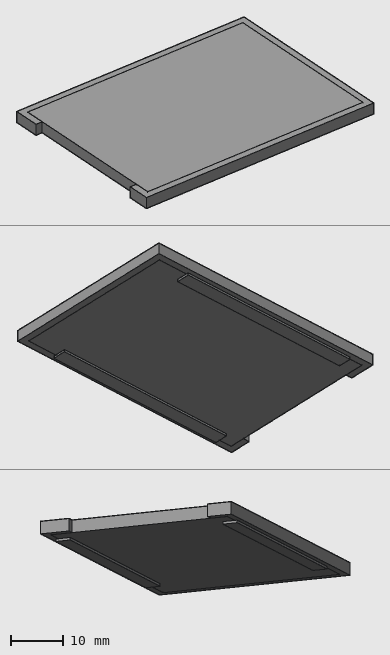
import cadquery as cq

PLATE_WIDTH = 40.0
PLATE_LENGTH = 55.5
PLATE_THICKNESS = 2.5

RIM = 1.5
LEFT_TAB_LENGTH = 6.0
RIGHT_TAB_LENGTH = 5.0

STRIP_WIDTH = 3.0
STRIP_LENGTH = 42.0
STRIP_THICKNESS = 0.5
STRIP_SIDE_INSET = 1.0
STRIP_FRONT_INSET = 5.0

PANEL_WIDTH = PLATE_WIDTH - 2 * RIM
PANEL_LENGTH = PLATE_LENGTH - 2 * RIM
FRONT_OPENING = PLATE_WIDTH - LEFT_TAB_LENGTH - RIGHT_TAB_LENGTH
FRONT_OPENING_CENTER_X = (LEFT_TAB_LENGTH - RIGHT_TAB_LENGTH) / 2
PLATE_FRONT = -PLATE_LENGTH / 2
STRIP_CENTER_X = PLATE_WIDTH / 2 - STRIP_SIDE_INSET - STRIP_WIDTH / 2
STRIP_CENTER_Y = PLATE_FRONT + STRIP_FRONT_INSET + STRIP_LENGTH / 2

ON_BASE = (True, True, False)


def make_panel():
    """Flat panel that fills the frame, flush at top and bottom."""
    return cq.Workplane("XY").box(PANEL_WIDTH, PANEL_LENGTH, PLATE_THICKNESS, centered=ON_BASE)


def make_frame():
    """Rim on three sides of the panel, with two tabs of unequal length wrapping its front corners."""
    outer = cq.Workplane("XY").box(PLATE_WIDTH, PLATE_LENGTH, PLATE_THICKNESS, centered=ON_BASE)
    front_opening = (
        cq.Workplane("XY")
        .center(FRONT_OPENING_CENTER_X, PLATE_FRONT + RIM / 2)
        .box(FRONT_OPENING, RIM, PLATE_THICKNESS, centered=ON_BASE)
    )
    return outer.cut(make_panel()).cut(front_opening).solids()


def make_strip(center_x):
    """Thin strip fixed under the plate, running along Y."""
    return (
        cq.Workplane("XY", origin=(center_x, STRIP_CENTER_Y, -STRIP_THICKNESS))
        .box(STRIP_WIDTH, STRIP_LENGTH, STRIP_THICKNESS, centered=ON_BASE)
    )


frame = make_frame()
panel = make_panel()
strips = [make_strip(side * STRIP_CENTER_X) for side in (-1, 1)]

result = cq.Compound.makeCompound([frame.val(), panel.val(), *[strip.val() for strip in strips]])